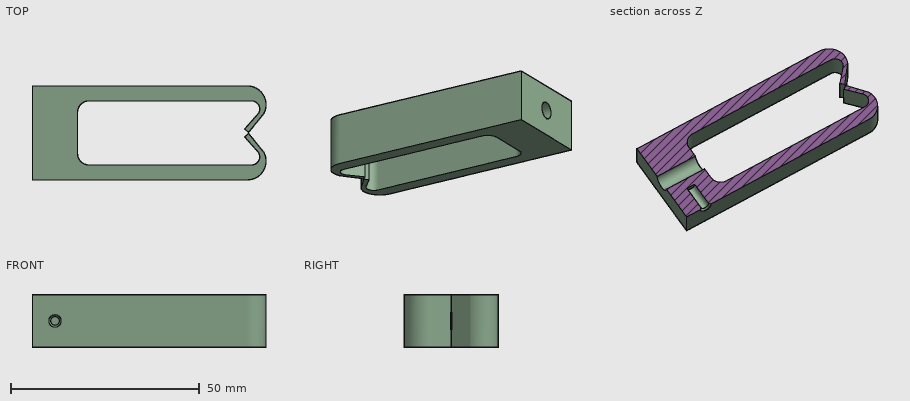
import cadquery as cq
import math

length = 62.0
width = 25.0
height = 14.0
half_width = width / 2

base_length = 12.0
side_wall = 4.0
slot_half_width = half_width - side_wall
slot_corner_radius = 3.0
nose_radius = 5.0
nose_wall = 1.75
nose_inner_radius = 2.1

arm_angle = 50.0
arm_thickness = 1.4
jaw_gap = 0.25
jaw_tip_x = 57.35
bend_y = 5.2

bore_diameter = 4.5
screw_x = 6.0
screw_diameter = 2.3
screw_depth = 7.45
countersink_diameter = 3.3
countersink_depth = (countersink_diameter - screw_diameter) / 2


def point_on_arc(center, radius, angle):
    """Point on a circle, with the angle in degrees from +X."""
    turn = math.radians(angle)
    return (center[0] + radius * math.cos(turn), center[1] + radius * math.sin(turn))


def angle_at_height(center, radius, y):
    """Angle in degrees at which the right side of a circle passes the given Y."""
    return math.degrees(math.asin((y - center[1]) / radius))


def half_frame():
    """Upper half of the clip: half the base, one side wall, the nose and one jaw arm."""
    slope = math.radians(arm_angle)
    outer_center = (length - nose_radius, half_width - nose_radius)
    inner_end_x = length - nose_wall
    inner_center = (inner_end_x - nose_inner_radius, slot_half_width - nose_inner_radius)
    slot_corner = (base_length + slot_corner_radius, slot_half_width - slot_corner_radius)

    outer_bend_angle = angle_at_height(outer_center, nose_radius, bend_y)
    outer_bend = point_on_arc(outer_center, nose_radius, outer_bend_angle)
    outer_tip = (jaw_tip_x, jaw_gap / 2)
    inner_tip = (
        outer_tip[0] - arm_thickness * math.sin(slope),
        outer_tip[1] + arm_thickness * math.cos(slope),
    )
    inner_bend = point_on_arc(inner_center, nose_inner_radius, arm_angle - 90)

    return (
        cq.Workplane("XY")
        .workplane(offset=-height / 2)
        .moveTo(0, 0)
        .lineTo(0, half_width)
        .lineTo(outer_center[0], half_width)
        .threePointArc(point_on_arc(outer_center, nose_radius, 45), outer_bend)
        .lineTo(*outer_tip)
        .lineTo(*inner_tip)
        .lineTo(*inner_bend)
        .threePointArc(
            point_on_arc(inner_center, nose_inner_radius, 30),
            (inner_center[0], slot_half_width),
        )
        .lineTo(slot_corner[0], slot_half_width)
        .threePointArc(
            point_on_arc(slot_corner, slot_corner_radius, 135),
            (base_length, slot_corner[1]),
        )
        .lineTo(base_length, 0)
        .close()
        .extrude(height)
    )


def bore():
    """Lengthwise hole through the base into the slot."""
    return cq.Workplane("YZ").circle(bore_diameter / 2).extrude(base_length)


def screw_hole():
    """Countersunk cross hole from the -Y side, blind and stopping short of the bore."""
    entry = cq.Workplane("XZ", origin=(screw_x, -half_width, 0))
    hole = entry.circle(screw_diameter / 2).extrude(-screw_depth)
    countersink = (
        entry.circle(countersink_diameter / 2)
        .workplane(offset=-countersink_depth)
        .circle(screw_diameter / 2)
        .loft()
    )
    return hole.union(countersink)


upper_half = half_frame()
result = upper_half.union(upper_half.mirror("XZ")).cut(bore()).cut(screw_hole())